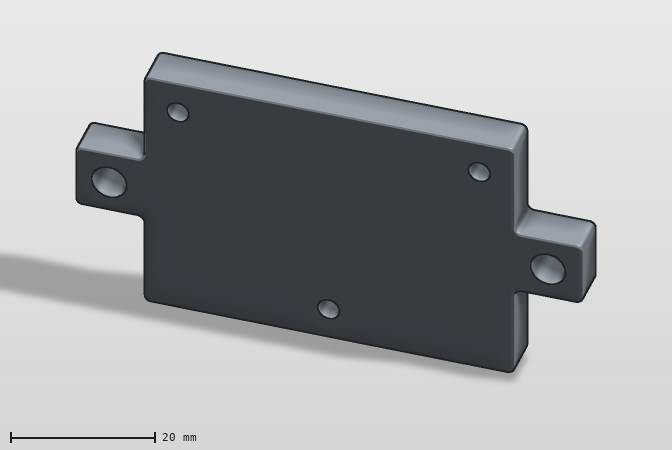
import cadquery as cq

overall_length = 74.0
thickness = 6.1
body_length = 54.0
body_height = 39.0
tab_height = 10.0

corner_radius = 1.0
front_edge_radius = 0.5

tab_hole_diameter = 5.1
body_hole_diameter = 3.2
body_hole_inset = 5.0

tab_hole_x = overall_length / 2 - tab_height / 2
body_hole_x = body_length / 2 - body_hole_inset
body_hole_z = body_height / 2 - body_hole_inset

tab_hole_centers = [(-tab_hole_x, 0), (tab_hole_x, 0)]
body_hole_centers = [
    (-body_hole_x, body_hole_z),
    (body_hole_x, body_hole_z),
    (0, -body_hole_z),
]


def make_plate():
    """Rectangular body crossed by a bar whose ends form the two mounting tabs."""
    body = cq.Workplane("XY").box(body_length, thickness, body_height)
    tab_bar = cq.Workplane("XY").box(overall_length, thickness, tab_height)
    plate = body.union(tab_bar)
    plate = plate.edges("|Y").fillet(corner_radius)
    return plate.faces("<Y").edges().fillet(front_edge_radius)


def make_holes(centers, diameter):
    """Cylinders along Y that pass through the full thickness."""
    return (
        cq.Workplane("XZ")
        .pushPoints(centers)
        .circle(diameter / 2)
        .extrude(thickness / 2, both=True)
    )


result = (
    make_plate()
    .cut(make_holes(tab_hole_centers, tab_hole_diameter))
    .cut(make_holes(body_hole_centers, body_hole_diameter))
)